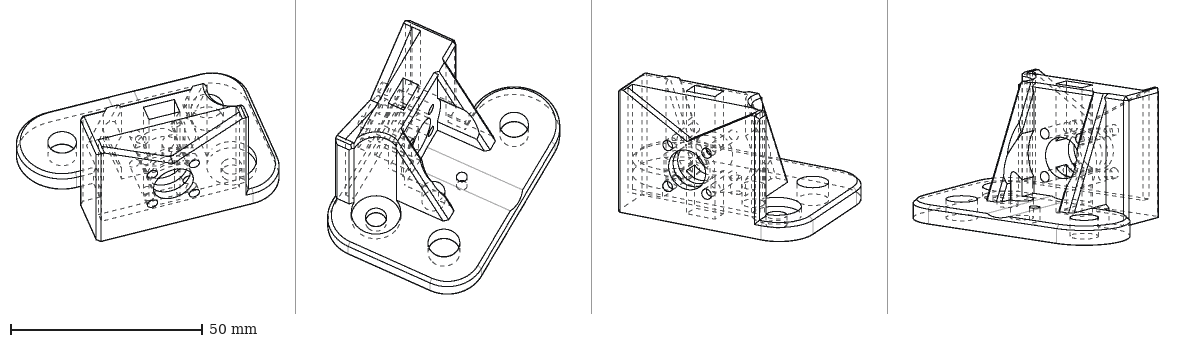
import cadquery as cq
import math

length_x = 44.0
length_y = 64.0
base_thickness = 5.0
corner_radius = 10.0
lobe_width = 24.0
lobe_radius = lobe_width / 2
edge_chamfer = base_thickness / 5

total_height = 34.4
wall_front_x = 29.1
wall_half_width = 21.0
axis_y = 32.0
rib_toe_x = 14.1
rib_thickness = 5.0
rib_outer_offset = 14.35
rib_inner_offset = rib_outer_offset - rib_thickness
rib_overlap = 1.15
rib_root_x = wall_front_x + rib_overlap
base_step_y = axis_y - rib_outer_offset - edge_chamfer

seat_z = 15.6
seat_diameter = 22.4
shaft_diameter = 11.0
screw_diameter = 2.8
screw_offset = 5.75

mount_x = lobe_radius
rear_mount_y = 52.1
rear_mount_diameter = 8.3
front_mount_diameter = 7.5
access_x = 21.6
access_y = 39.55
access_diameter = 6.0
drain_x = 17.1
drain_diameter = 2.8
bolt_x = 32.0
bolt_diameter = 5.5
counterbore_diameter = 13.0
counterbore_depth = 2.5

window_x = 32.0
window_length_x = 4.55
window_length_y = 8.5
slot_x = 39.05
slot_width = 2.5
slot_half_length = 19.0
valley_depth = 10.9


def upright_cylinder(x, y, diameter, bottom=0.0):
    return cq.Workplane("XY", origin=(x, y, bottom)).circle(diameter / 2).extrude(total_height)


def cylinder_along_x(y, z, diameter, start, end):
    return cq.Workplane("YZ", origin=(start, y, z)).circle(diameter / 2).extrude(end - start)


def make_base():
    outline = (
        cq.Workplane("XY")
        .moveTo(0, lobe_radius)
        .lineTo(0, length_y - corner_radius)
        .radiusArc((corner_radius, length_y), corner_radius)
        .lineTo(length_x - corner_radius, length_y)
        .radiusArc((length_x, length_y - corner_radius), corner_radius)
        .lineTo(length_x, base_step_y)
        .lineTo(lobe_width, base_step_y)
        .lineTo(lobe_width, lobe_radius)
        .threePointArc((lobe_radius, 0), (0, lobe_radius))
        .close()
    )
    return outline.extrude(base_thickness).faces(">Z").edges().chamfer(edge_chamfer)


def make_wall():
    depth = length_x - wall_front_x
    wall = (
        cq.Workplane("XY")
        .box(depth, 2 * wall_half_width, total_height, centered=(False, True, False))
        .translate((wall_front_x, axis_y, 0))
    )
    return wall.edges("|Z or (>Z and (not >X))").chamfer(edge_chamfer)


def make_wedge(start_y, thickness):
    return (
        cq.Workplane("XZ", origin=(0, start_y + thickness, 0))
        .moveTo(rib_toe_x, base_thickness)
        .lineTo(wall_front_x, total_height)
        .lineTo(rib_root_x, total_height)
        .lineTo(rib_root_x, base_thickness)
        .close()
        .extrude(thickness)
    )


def make_rib(start_y):
    rib = make_wedge(start_y, rib_thickness)
    slope_middle_x = (rib_toe_x + wall_front_x) / 2
    slope_middle_z = (base_thickness + total_height) / 2
    for side_y in (start_y, start_y + rib_thickness):
        slope_edge = cq.selectors.NearestToPointSelector((slope_middle_x, side_y, slope_middle_z))
        rib = rib.edges(slope_edge).chamfer(edge_chamfer)
    return rib


def make_access_relief():
    block_width = 2 * access_diameter
    block = make_wedge(access_y - block_width / 2, block_width)
    drilled = block.cut(upright_cylinder(access_x, access_y, access_diameter))
    mouth = drilled.edges("%ELLIPSE")
    return block.cut(mouth.chamfer(edge_chamfer))


def cut_motor_seat(body):
    body = body.cut(cylinder_along_x(axis_y, seat_z, seat_diameter, 0, wall_front_x))
    body = body.cut(cylinder_along_x(axis_y, seat_z, shaft_diameter, wall_front_x, length_x))
    for side_y in (-screw_offset, screw_offset):
        for side_z in (-screw_offset, screw_offset):
            screw = cylinder_along_x(
                axis_y + side_y, seat_z + side_z, screw_diameter, wall_front_x, length_x
            )
            body = body.cut(screw)
    return body


def cut_vertical_holes(body):
    holes = [
        (mount_x, rear_mount_y, rear_mount_diameter),
        (mount_x, lobe_radius, front_mount_diameter),
        (access_x, access_y, access_diameter),
        (drain_x, axis_y, drain_diameter),
        (bolt_x, rear_mount_y, bolt_diameter),
    ]
    for x, y, diameter in holes:
        body = body.cut(upright_cylinder(x, y, diameter))
    return body


def cut_counterbore(body):
    floor_z = base_thickness - counterbore_depth
    bore = upright_cylinder(bolt_x, rear_mount_y, counterbore_diameter, floor_z)
    rim = (
        cq.Workplane("XY", origin=(bolt_x, rear_mount_y, total_height))
        .circle(counterbore_diameter / 2 + edge_chamfer)
        .extrude(-edge_chamfer, taper=45)
    )
    wall_end_y = axis_y + wall_half_width
    corner_x = bolt_x + math.sqrt((counterbore_diameter / 2) ** 2 - (wall_end_y - rear_mount_y) ** 2)
    corner_bevel = (
        cq.Workplane("XY", origin=(corner_x, wall_end_y, base_thickness))
        .moveTo(edge_chamfer, 0)
        .lineTo(0, -edge_chamfer)
        .lineTo(-edge_chamfer, 0)
        .lineTo(0, edge_chamfer)
        .close()
        .extrude(total_height)
    )
    return body.cut(bore).cut(rim).cut(corner_bevel)


def cut_wall_openings(body):
    window = (
        cq.Workplane("XY")
        .box(window_length_x, window_length_y, total_height, centered=(False, True, False))
        .translate((window_x, axis_y, 0))
    )
    slot = (
        cq.Workplane("XY")
        .box(slot_width, 2 * slot_half_length, total_height, centered=(False, True, False))
        .translate((slot_x, axis_y, base_thickness))
    )
    valley = (
        cq.Workplane("YZ", origin=(slot_x, axis_y, total_height))
        .moveTo(-slot_half_length, 0)
        .lineTo(0, -valley_depth)
        .lineTo(slot_half_length, 0)
        .close()
        .extrude(length_x - slot_x)
    )
    return body.cut(window).cut(slot).cut(valley)


body = make_base().union(make_wall())
for rib_start_y in (axis_y - rib_outer_offset, axis_y + rib_inner_offset):
    body = body.union(make_rib(rib_start_y))
body = body.cut(make_access_relief())
body = cut_motor_seat(body)
body = cut_vertical_holes(body)
body = cut_counterbore(body)
result = cut_wall_openings(body)